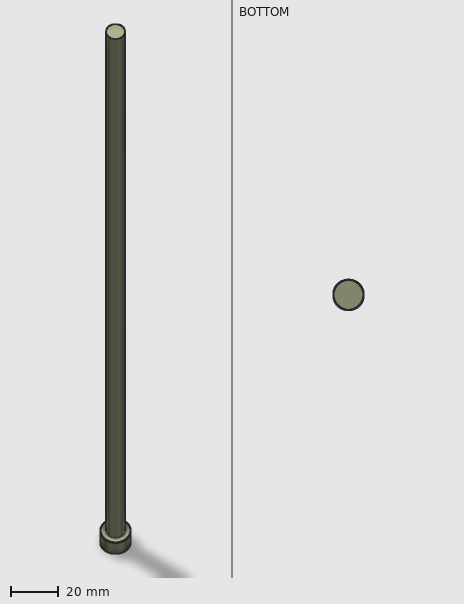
import cadquery as cq

total_length = 350.0
head_diameter = 13.0
head_height = 8.0
shank_diameter = 8.0
rim_chamfer = 0.3
neck_fillet = 0.3


def make_head():
    """Cylindrical head standing on the XY plane, chamfered on both rims."""
    head = cq.Workplane("XY").circle(head_diameter / 2).extrude(head_height)
    return head.faces("<Z or >Z").edges().chamfer(rim_chamfer)


def make_shank():
    """Plain cylindrical shank rising from the base to the full length."""
    return cq.Workplane("XY").circle(shank_diameter / 2).extrude(total_length)


def round_neck(pin):
    """Fillet the inside corner where the shank meets the top of the head."""
    head_top = pin.faces("|Z").faces("<Z[-2]")
    return head_top.edges(cq.selectors.RadiusNthSelector(0)).fillet(neck_fillet)


result = round_neck(make_head().union(make_shank()))